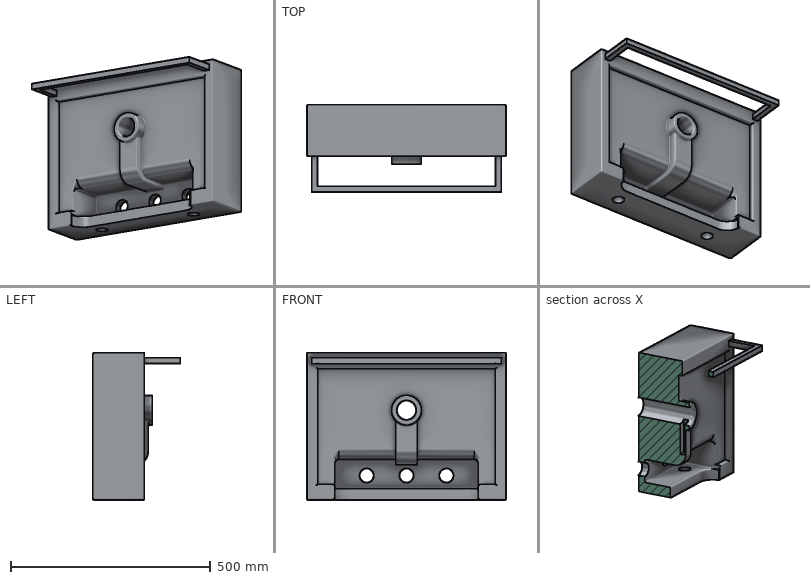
import cadquery as cq
import math


WIDTH = 500.0
DEPTH_Y = 130.0
HEIGHT = 370.0
EDGE_R = 3.5
BACK_EDGE_R = 5.0

RECESS_DEPTH = 11.5
RECESS_HALF_X = 223.0
RECESS_BOTTOM = 40.0
RECESS_TOP = 329.5

POCKET_HALF_X = 179.5
POCKET_FLOOR = 28.5
POCKET_CEILING = 102.0
POCKET_BACK = 110.0
POCKET_CORNER_R = 9.0
CEILING_RIM_R = 25.0
CORNER_RIM_R = 9.5

NOTCH_DEPTH = 35.5
NOTCH_CORNER_R = 38.0

TAP_HOLE_R = 17.5
TAP_HOLE_PITCH = 100.0
TAP_HOLE_Z = 61.5
BOLT_HOLE_R = 15.0
BOLT_HOLE_X = 138.5
BOLT_HOLE_Y = 78.0

DRAIN_Z = 225.5
BOSS_R = 37.5
BOSS_PROJECTION = 20.0
BORE_R = 24.0

COLUMN_HALF_X = 27.0
COLUMN_PROJECTION = 9.5
COLUMN_BOTTOM = 88.5
COLUMN_NOSE_R = 33.5
CHANNEL_HALF_X = 17.5
CHANNEL_FRONT = -6.0
CHANNEL_BACK = 7.0

RAIL_SIZE = 15.0
RAIL_SIDE_INSET = 12.0
RAIL_TOP_INSET = 12.5
RAIL_REACH = 90.0


def box(x0, x1, y0, y1, z0, z1):
    """Box between two opposite corners."""
    return cq.Workplane("XY").box(x1 - x0, y1 - y0, z1 - z0, centered=False).translate((x0, y0, z0))


def arc_corner(plane, radius):
    """Wire of the spandrel between two perpendicular tangents and their arc, tip at the plane origin."""
    arc_mid = radius * (1 - math.sqrt(0.5))
    return (
        cq.Workplane(plane)
        .lineTo(radius, 0)
        .threePointArc((arc_mid, arc_mid), (0, radius))
        .close()
    )


def outward_plane(origin, out, depth=(0, 1, 0)):
    """Plane whose first axis is `out` and whose second axis is `depth`."""
    normal = cq.Vector(*out).cross(cq.Vector(*depth))
    return cq.Plane(origin=origin, xDir=out, normal=normal.toTuple())


def both_sides(solid):
    """The solid with its mirror image across X = 0."""
    return solid.union(solid.mirror("YZ"))


def make_block():
    block = box(-WIDTH / 2, WIDTH / 2, 0, DEPTH_Y, 0, HEIGHT)
    block = block.edges("|Y").fillet(EDGE_R)
    block = block.faces(">Y").edges().fillet(BACK_EDGE_R)
    return block.faces("<Y").edges().fillet(EDGE_R)


def cut_recess(body):
    recess = box(-RECESS_HALF_X, RECESS_HALF_X, 0, RECESS_DEPTH, RECESS_BOTTOM, RECESS_TOP)
    rim = cq.selectors.BoxSelector(
        (-RECESS_HALF_X - EDGE_R, -EDGE_R, RECESS_BOTTOM - EDGE_R),
        (RECESS_HALF_X + EDGE_R, EDGE_R, RECESS_TOP + EDGE_R),
    )
    return body.cut(recess).edges(rim).fillet(EDGE_R)


def make_pocket_tool():
    pocket = box(-POCKET_HALF_X, POCKET_HALF_X, 0, POCKET_BACK, POCKET_FLOOR, POCKET_CEILING)
    pocket = pocket.edges("|Y and >Z").fillet(POCKET_CORNER_R)
    return pocket.edges(">Y or (|Y and <Z)").fillet(EDGE_R)


def make_pocket_rim_tool():
    """Rounds the mouth: a large radius along the ceiling blends into a small one down the sides."""
    corner_x = POCKET_HALF_X - POCKET_CORNER_R
    corner_z = POCKET_CEILING - POCKET_CORNER_R
    ceiling_plane = outward_plane((corner_x, RECESS_DEPTH, POCKET_CEILING), (0, 0, 1))
    side_plane = outward_plane((POCKET_HALF_X, RECESS_DEPTH, corner_z), (1, 0, 0))
    post_plane = outward_plane((POCKET_HALF_X, 0, 0), (1, 0, 0))

    ceiling = arc_corner(ceiling_plane, CEILING_RIM_R).extrude(2 * corner_x)
    diagonal_offset = POCKET_CORNER_R * math.sqrt(0.5)
    diagonal_plane = outward_plane(
        (corner_x + diagonal_offset, RECESS_DEPTH, corner_z + diagonal_offset), (1, 0, 1)
    )
    corner_wires = [
        arc_corner(ceiling_plane, CEILING_RIM_R).val(),
        arc_corner(diagonal_plane, CORNER_RIM_R).val(),
        arc_corner(side_plane, EDGE_R).val(),
    ]
    corner = cq.Workplane(cq.Solid.makeLoft(corner_wires, True))
    side = arc_corner(side_plane, EDGE_R).extrude(RECESS_BOTTOM - corner_z)
    post = arc_corner(post_plane, EDGE_R).extrude(RECESS_BOTTOM)
    return ceiling.union(both_sides(corner)).union(both_sides(side)).union(both_sides(post))


def make_notch_tool():
    """Notch through the ledge whose inner corners are large arcs, with a rounded upper edge."""
    arc_start_x = POCKET_HALF_X - NOTCH_CORNER_R
    arc_end_x = arc_start_x + math.sqrt(NOTCH_CORNER_R**2 - (NOTCH_CORNER_R - NOTCH_DEPTH) ** 2)
    arc_turn = math.radians(45)
    arc_mid_x = arc_start_x + NOTCH_CORNER_R * math.sin(arc_turn)
    arc_mid_y = NOTCH_DEPTH - NOTCH_CORNER_R * (1 - math.cos(arc_turn))
    notch = (
        cq.Workplane("XY")
        .moveTo(-arc_end_x, 0)
        .threePointArc((-arc_mid_x, arc_mid_y), (-arc_start_x, NOTCH_DEPTH))
        .lineTo(arc_start_x, NOTCH_DEPTH)
        .threePointArc((arc_mid_x, arc_mid_y), (arc_end_x, 0))
        .close()
        .extrude(POCKET_FLOOR)
    )
    ledge = box(-WIDTH / 2, WIDTH / 2, 0, POCKET_BACK, 0, POCKET_FLOOR).cut(notch)
    upper_edge = cq.selectors.BoxSelector(
        (-arc_end_x, 0, POCKET_FLOOR - EDGE_R),
        (arc_end_x, NOTCH_DEPTH + EDGE_R, POCKET_FLOOR + EDGE_R),
    )
    ledge = ledge.edges(upper_edge).fillet(EDGE_R)
    return box(-POCKET_HALF_X, POCKET_HALF_X, 0, POCKET_BACK, 0, POCKET_FLOOR).cut(ledge)


def make_column():
    """Overflow column: rounded nose at its lower end, running back to the pocket wall."""
    nose_y = COLUMN_NOSE_R - COLUMN_PROJECTION
    nose_z = COLUMN_BOTTOM + COLUMN_NOSE_R
    nose_mid = COLUMN_NOSE_R * math.sqrt(0.5)
    column = (
        cq.Workplane("YZ")
        .moveTo(-COLUMN_PROJECTION, DRAIN_Z)
        .lineTo(-COLUMN_PROJECTION, nose_z)
        .threePointArc((nose_y - nose_mid, nose_z - nose_mid), (nose_y, COLUMN_BOTTOM))
        .lineTo(POCKET_BACK, COLUMN_BOTTOM)
        .lineTo(POCKET_BACK, DRAIN_Z)
        .close()
        .extrude(COLUMN_HALF_X, both=True)
    )
    front_edge = cq.selectors.BoxSelector(
        (-COLUMN_HALF_X - 5, -COLUMN_PROJECTION - 5, DRAIN_Z - 100),
        (COLUMN_HALF_X + 5, -COLUMN_PROJECTION + 5, DRAIN_Z - 5),
    )
    return column.edges(front_edge).edges("|Z").fillet(EDGE_R)


def make_boss():
    boss_length = BOSS_PROJECTION + RECESS_DEPTH
    boss = cq.Workplane("XZ", origin=(0, RECESS_DEPTH, DRAIN_Z)).circle(BOSS_R).extrude(boss_length)
    return boss.faces("<Y").edges().fillet(EDGE_R)


def y_hole(radius, x, z):
    """Round hole tool running through the whole basin along Y."""
    start = -BOSS_PROJECTION
    return cq.Workplane("XZ", origin=(x, start, z)).circle(radius).extrude(start - DEPTH_Y)


def fillet_feet(basin):
    """Fillets where the boss and the column rise out of the recess, the pocket and each other."""
    margin = 0.5
    on_recess = cq.selectors.BoxSelector(
        (-BOSS_R - margin, RECESS_DEPTH - margin, POCKET_CEILING + CEILING_RIM_R),
        (BOSS_R + margin, RECESS_DEPTH + margin, DRAIN_Z + BOSS_R + margin),
    )
    boss_on_column = cq.selectors.BoxSelector(
        (-COLUMN_HALF_X, -COLUMN_PROJECTION - margin, DRAIN_Z - BOSS_R),
        (COLUMN_HALF_X, -COLUMN_PROJECTION + EDGE_R, DRAIN_Z - BORE_R),
    )
    return basin.edges(on_recess + boss_on_column).fillet(EDGE_R)


def cut_drain(basin):
    """Through bore with a rounded mouth, and the overflow channel that opens into its lower side."""
    basin = basin.cut(y_hole(BORE_R, 0, DRAIN_Z))
    mouth = cq.selectors.RadiusNthSelector(0)
    basin = basin.faces("<Y").edges(mouth).fillet(EDGE_R)
    channel_end = COLUMN_BOTTOM + COLUMN_NOSE_R
    channel = box(-CHANNEL_HALF_X, CHANNEL_HALF_X, CHANNEL_FRONT, CHANNEL_BACK, channel_end, DRAIN_Z)
    return basin.cut(channel)


def cut_mounting_holes(basin):
    """Tap holes along Y through the pocket wall and bolt holes along Z through the ledge."""
    for i in (-1, 0, 1):
        basin = basin.cut(y_hole(TAP_HOLE_R, i * TAP_HOLE_PITCH, TAP_HOLE_Z))
    for x in (-BOLT_HOLE_X, BOLT_HOLE_X):
        bolt_hole = cq.Workplane("XY").center(x, BOLT_HOLE_Y).circle(BOLT_HOLE_R).extrude(POCKET_FLOOR)
        basin = basin.cut(bolt_hole)
    return basin


def make_basin():
    basin = cut_recess(make_block())
    basin = basin.cut(make_pocket_tool()).cut(make_notch_tool()).cut(make_pocket_rim_tool())
    basin = fillet_feet(basin.union(make_column()).union(make_boss()))
    return cut_mounting_holes(cut_drain(basin))


def make_towel_rail():
    half_x = WIDTH / 2 - RAIL_SIDE_INSET
    top = HEIGHT - RAIL_TOP_INSET
    outer = box(-half_x, half_x, -RAIL_REACH, 0, top - RAIL_SIZE, top)
    inner_half_x = half_x - RAIL_SIZE
    opening = box(-inner_half_x, inner_half_x, RAIL_SIZE - RAIL_REACH, 0, top - RAIL_SIZE, top)
    return outer.cut(opening)


basin = make_basin()
towel_rail = make_towel_rail()

result = cq.Compound.makeCompound([basin.val(), towel_rail.val()])